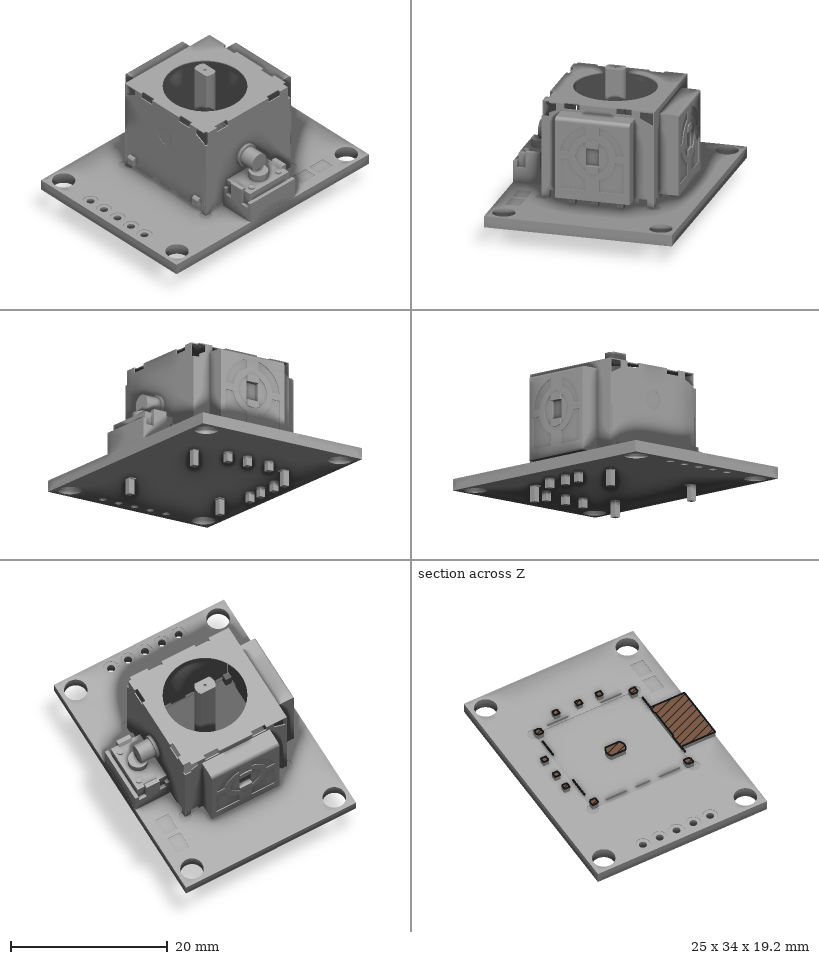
import cadquery as cq


BOARD_X, BOARD_Y, BOARD_T = 25.0, 34.0, 1.5
MOUNT_R, MOUNT_INSET = 1.5, 2.05
HEADER_R, HEADER_PAD_R = 0.5, 1.02
HEADER_COUNT, HEADER_PITCH, HEADER_Y = 5, 2.48, -15.47
MASK_T = 0.07
CHIP_X, CHIP_Y = 1.85, 2.4
CHIP_CENTER_X = 10.1
CHIP_CENTERS_Y = (7.75, 10.8)

CASE = 14.95
CASE_Y = 0.48
CASE_TOP = 14.45
SHEET = 0.15
HALF = CASE / 2
OPENING_R = 5.4
LEG, LEG_BOTTOM, LEG_TOP = 0.8, -2.15, 3.0
LEG_CORE, LEG_CORE_BOTTOM = 1.0, -0.15
LEG_PAD_R = 0.8
WALL_BOTTOM, SKIRT_BOTTOM, SKIRT_HALF = 2.5, 2.0, 5.47
RELIEF_HALF, RELIEF_SLOPE = 2.5, 0.55
CENTER_TAB_HALF = 1.02
CORNER_X, CORNER_Z_HIGH, CORNER_Z_LOW = 5.58, 13.43, 12.5
EDGE_NOTCH, EDGE_NOTCH_DEPTH, EDGE_NOTCH_BOTTOM = 2.05, 0.45, 13.75
EDGE_NOTCH_X = 3.47
SIDE_NOTCH_CENTERS = (4.62, -4.52)
REAR_CUT_X, REAR_CUT_Y, FRONT_CUT = 0.95, 0.48, 0.4
SLIT_W, SLIT_TOP = 0.17, 8.65
PIVOT_R, PIVOT_Z, PIVOT_DEPTH = 1.25, 10.0, 0.05
LUG_X, LUG_W, LUG_OUT, LUG_H, LUG_BEVEL = 5.95, 1.05, 0.5, 1.15, 0.25

STICK_R, STICK_FLATS, STICK_TOP = 1.35, 1.7, 17.05
DIMPLE_R, DIMPLE_DEPTH = 0.2, 0.35

POT_W, POT_DEPTH, POT_TOP = 9.93, 2.5, 13.43
REAR_POT_ROUND, SIDE_POT_ROUND = 0.5, 0.3
ROTOR_Z, ROTOR_R, KEY_HALF = 8.45, 2.2, 0.9
KEY_WINDOW_H, KEY_WINDOW_DEPTH, KEY_PROUD = 2.45, 0.58, 0.15
RELIEF_DEPTH = 0.1
RING_IN, RING_OUT = 3.1, 4.25
SPOKE_HALF_W, SPOKE_HALF_H, POCKET_DROP = 0.92, 0.48, 4.6
PIN, PIN_BOTTOM, PIN_OUT = 0.8, -1.25, 1.25
SOLDER_R, SOLDER_H = 0.65, 0.3
REAR_PINS_X = (-3.45, -0.07, 2.95)
SIDE_PINS_Y = (2.95, 0.0, -2.38)

SHAFT_R, SHAFT_END, SHAFT_Z = 1.25, 9.95, 7.65
FLANGE_R, FLANGE_T = 1.55, 0.4
SWITCH_HALF, SWITCH_END = 3.95, 12.48
SWITCH_BASE_TOP, SWITCH_NOTCH_Z = 4.4, 3.55
SWITCH_NOTCH_START, SWITCH_NOTCH_END = 7.95, 11.97
BODY_HALF, BODY_START, BODY_END, BODY_TOP = 3.45, 7.58, 11.85, 5.4
CLIP_START, CLIP_END, CLIP_TOP = 8.87, 10.8, 5.78
CLIP_INNER, CLIP_CREST = 3.05, 3.35
BUTTON_X, BUTTON_R, BUTTON_TOP = 9.85, 1.25, 6.4
STUD_X, STUD_Y, STUD_R, STUD_TOP = 11.1, 2.38, 0.37, 5.65


def block(x0, x1, y0, y1, z0, z1):
    """Box between two values on each axis."""
    return cq.Workplane("XY").box(x1 - x0, y1 - y0, z1 - z0, centered=False).translate((x0, y0, z0))


def post(x, y, radius, z0, z1):
    """Upright cylinder."""
    return cq.Workplane("XY", origin=(x, y, z0)).circle(radius).extrude(z1 - z0)


def make_board():
    """Board with shallow openings in its top coating at the pads, the chips and the housing."""
    board = block(-BOARD_X / 2, BOARD_X / 2, -BOARD_Y / 2, BOARD_Y / 2, 0, BOARD_T)
    copper = BOARD_T - MASK_T
    board = board.cut(block(-HALF, HALF, CASE_Y - HALF, CASE_Y + HALF, copper, BOARD_T))
    for y in CHIP_CENTERS_Y:
        board = board.cut(block(CHIP_CENTER_X - CHIP_X / 2, CHIP_CENTER_X + CHIP_X / 2,
                                y - CHIP_Y / 2, y + CHIP_Y / 2, copper, BOARD_T))
    for sx in (-1, 1):
        for sy in (-1, 1):
            board = board.cut(post(sx * HALF, CASE_Y + sy * HALF, LEG_PAD_R, copper, BOARD_T))
            mount_x = sx * (BOARD_X / 2 - MOUNT_INSET)
            mount_y = sy * (BOARD_Y / 2 - MOUNT_INSET)
            board = board.cut(post(mount_x, mount_y, MOUNT_R, 0, BOARD_T))
    for i in range(HEADER_COUNT):
        x = (i - (HEADER_COUNT - 1) / 2) * HEADER_PITCH
        board = board.cut(post(x, HEADER_Y, HEADER_PAD_R, copper, BOARD_T))
        board = board.cut(post(x, HEADER_Y, HEADER_R, 0, BOARD_T))
    return board


def make_wall(angle, open_corners, center_tab):
    """One housing wall, built as the front wall and turned about the housing axis."""
    right = [(0, WALL_BOTTOM), (RELIEF_HALF - RELIEF_SLOPE, WALL_BOTTOM), (RELIEF_HALF, SKIRT_BOTTOM),
             (SKIRT_HALF, SKIRT_BOTTOM), (SKIRT_HALF, WALL_BOTTOM), (HALF, WALL_BOTTOM)]
    if open_corners:
        right += [(HALF, CORNER_Z_LOW), (CORNER_X, CORNER_Z_HIGH), (CORNER_X, CASE_TOP)]
    else:
        right += [(HALF, CASE_TOP)]
    left = [(-x, z) for x, z in reversed(right[1:])]
    wall = cq.Workplane("XZ", origin=(0, SHEET - HALF, 0)).polyline(right + left).close().extrude(SHEET)
    if center_tab:
        tab = block(-CENTER_TAB_HALF, CENTER_TAB_HALF, -HALF, SHEET - HALF, SKIRT_BOTTOM, WALL_BOTTOM)
        wall = wall.union(tab)
    return wall.rotate((0, 0, 0), (0, 0, 1), angle)


def make_case():
    """Open-bottomed housing, shaped about its own axis and then moved into place."""
    case = block(-HALF, HALF, -HALF, HALF, CASE_TOP - SHEET, CASE_TOP)
    case = case.union(make_wall(0, True, True)).union(make_wall(180, True, False))
    case = case.union(make_wall(90, False, False)).union(make_wall(270, False, False))

    leg = block(HALF - LEG, HALF, HALF - LEG, HALF, LEG_BOTTOM, LEG_TOP)
    core_start = HALF - LEG_CORE
    core_end = HALF - SHEET
    leg = leg.union(block(core_start, core_end, core_start, core_end, LEG_CORE_BOTTOM, LEG_TOP))
    for i in range(4):
        case = case.union(leg.rotate((0, 0, 0), (0, 0, 1), 90 * i))

    edge = HALF - EDGE_NOTCH_DEPTH
    reach = EDGE_NOTCH / 2
    for x in (-EDGE_NOTCH_X, EDGE_NOTCH_X):
        for y0, y1 in ((-HALF, -edge), (edge, HALF)):
            case = case.cut(block(x - reach, x + reach, y0, y1, EDGE_NOTCH_BOTTOM, CASE_TOP))
    for y in SIDE_NOTCH_CENTERS:
        case = case.cut(block(edge, HALF, y - reach, y + reach, EDGE_NOTCH_BOTTOM, CASE_TOP))

    case = case.cut(block(HALF - REAR_CUT_X, HALF, HALF - REAR_CUT_Y, HALF, CORNER_Z_LOW, CASE_TOP))
    case = case.cut(block(HALF - FRONT_CUT, HALF, -HALF, FRONT_CUT - HALF, CORNER_Z_LOW, CASE_TOP))

    slit_end = HALF - SHEET
    slit = block(slit_end - SLIT_W, slit_end, -HALF, SHEET - HALF, LEG_TOP, SLIT_TOP)
    case = case.cut(slit).cut(slit.mirror("YZ"))

    for x in (-LUG_X, LUG_X):
        lug = block(x - LUG_W / 2, x + LUG_W / 2, -HALF - LUG_OUT, -HALF, WALL_BOTTOM, WALL_BOTTOM + LUG_H)
        case = case.union(lug.edges("<Y and >Z").chamfer(LUG_BEVEL))

    pivot = cq.Workplane("XZ", origin=(0, PIVOT_DEPTH - HALF, PIVOT_Z)).circle(PIVOT_R).extrude(PIVOT_DEPTH)
    case = case.cut(pivot).translate((0, CASE_Y, 0))

    return case.cut(post(0, 0, OPENING_R, CASE_TOP - SHEET, CASE_TOP))


def make_stick():
    """Round stick with two flats and a dimple in its tip."""
    foot = BOARD_T - MASK_T
    stick = post(0, 0, STICK_R, foot, STICK_TOP)
    stick = stick.intersect(block(-STICK_R, STICK_R, -STICK_FLATS / 2, STICK_FLATS / 2, foot, STICK_TOP))
    return stick.cut(post(0, 0, DIMPLE_R, STICK_TOP - DIMPLE_DEPTH, STICK_TOP))


def make_pot(top_round):
    """Potentiometer on the front of the housing, facing -Y, centred on X = 0."""
    face = -HALF - POT_DEPTH
    pot = block(-POT_W / 2, POT_W / 2, face, -HALF, WALL_BOTTOM, POT_TOP)
    pot = pot.edges("<Y and >Z").fillet(top_round)

    def disc(radius, proud=0):
        plane = cq.Workplane("XZ", origin=(0, face + RELIEF_DEPTH, ROTOR_Z))
        return plane.circle(radius).extrude(RELIEF_DEPTH + proud)

    def face_block(half_w, z0, z1, y0=face, y1=face + RELIEF_DEPTH):
        return block(-half_w, half_w, y0, y1, ROTOR_Z + z0, ROTOR_Z + z1)

    pockets = disc(RING_OUT).union(face_block(RING_OUT, -POCKET_DROP, 0)).cut(disc(RING_IN))
    pockets = pockets.cut(face_block(SPOKE_HALF_W, -POCKET_DROP, RING_OUT))
    pockets = pockets.cut(face_block(RING_OUT, -SPOKE_HALF_H, SPOKE_HALF_H))
    pot = pot.cut(pockets).cut(disc(ROTOR_R))

    bar = face_block(KEY_HALF, -ROTOR_R, ROTOR_R, face - KEY_PROUD)
    bar = bar.intersect(disc(ROTOR_R, KEY_PROUD))
    window_half = KEY_WINDOW_H / 2
    window = face_block(KEY_HALF, -window_half, window_half, face - KEY_PROUD, face + KEY_WINDOW_DEPTH)
    return pot.union(bar).cut(window)


def make_pin(x, y):
    """Square terminal pin with a solder cone under the board."""
    pin = block(x - PIN / 2, x + PIN / 2, y - PIN / 2, y + PIN / 2, PIN_BOTTOM, WALL_BOTTOM)
    cone = cq.Workplane("XY", origin=(x, y, 0)).circle(SOLDER_R)
    return pin.union(cone.workplane(offset=-SOLDER_H).circle(PIN / 2).loft())


def make_switch():
    """Push switch: notched base, body, two clips, two studs and a round button."""
    switch = block(HALF, SWITCH_END, -SWITCH_HALF, SWITCH_HALF, BOARD_T, SWITCH_BASE_TOP)
    for x0, x1 in ((SWITCH_NOTCH_START, CLIP_START), (CLIP_END, SWITCH_NOTCH_END)):
        switch = switch.cut(block(x0, x1, -SWITCH_HALF, SWITCH_HALF, SWITCH_NOTCH_Z, SWITCH_BASE_TOP))
    switch = switch.union(block(BODY_START, BODY_END, -BODY_HALF, BODY_HALF, BOARD_T, BODY_TOP))
    hook = [(SWITCH_HALF, BOARD_T), (SWITCH_HALF, CLIP_TOP), (CLIP_CREST, CLIP_TOP),
            (CLIP_INNER, BODY_TOP), (CLIP_INNER, BOARD_T)]
    clip = cq.Workplane("YZ", origin=(CLIP_START, 0, 0)).polyline(hook).close().extrude(CLIP_END - CLIP_START)
    switch = switch.union(clip).union(clip.mirror("XZ"))
    for y in (-STUD_Y, STUD_Y):
        switch = switch.union(post(STUD_X, y, STUD_R, BODY_TOP, STUD_TOP))
    return switch.union(post(BUTTON_X, 0, BUTTON_R, BODY_TOP, BUTTON_TOP))


def make_shaft():
    """Flanged shaft on the right-hand wall, above the switch button."""
    base = cq.Workplane("YZ", origin=(HALF, 0, SHAFT_Z))
    flange = base.circle(FLANGE_R).extrude(FLANGE_T)
    return flange.union(base.circle(SHAFT_R).extrude(SHAFT_END - HALF))


result = make_board().union(make_case()).union(make_stick())
for angle, top_round in ((180, REAR_POT_ROUND), (270, SIDE_POT_ROUND)):
    result = result.union(make_pot(top_round).rotate((0, 0, 0), (0, 0, 1), angle).translate((0, CASE_Y, 0)))
for x in REAR_PINS_X:
    result = result.union(make_pin(x, CASE_Y + HALF + PIN_OUT))
for y in SIDE_PINS_Y:
    result = result.union(make_pin(-HALF - PIN_OUT, y))
result = result.union(make_switch()).union(make_shaft())